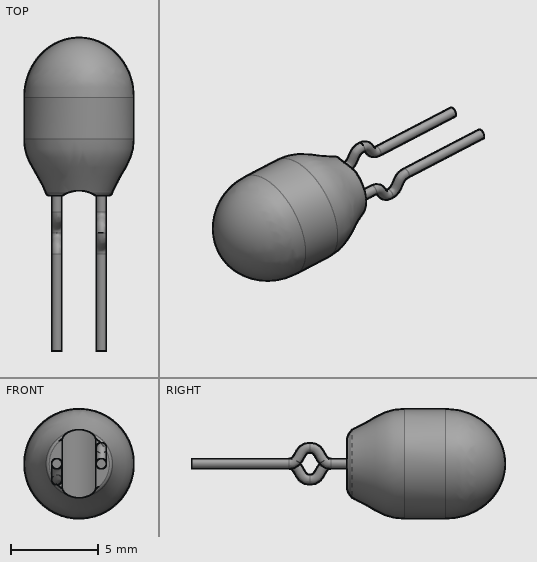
import cadquery as cq
import math

overall_length = 17.96
body_length = 9.07
body_diameter = 6.3
body_radius = body_diameter / 2

belt_start = 3.27
belt_end = 5.64
neck_height = 1.35
neck_radius = 2.51
rim_height = 0.16
rim_radius = 1.9
seat_radius = 1.72
neck_end_angle = math.radians(20)

channel_width = 1.9
channel_depth = 0.29

lead_diameter = 0.6
lead_pitch = 2.55
lead_embed = 1.44
lead_length = overall_length - body_length

kink_start = 0.92
kink_half_run = 1.2
kink_rise = 0.92


def make_body():
    """Revolved bead: rounded rim, flared neck, cylindrical belt and elliptical dome."""
    dome_height = body_length - belt_end
    neck_end_direction = (math.sin(neck_end_angle), -math.cos(neck_end_angle))
    profile = (
        cq.Workplane("XY")
        .moveTo(0, body_length)
        .ellipseArc(body_radius, dome_height, 90, 180, startAtCurrent=True, sense=1)
        .lineTo(-body_radius, belt_start)
        .spline(
            [(-neck_radius, neck_height), (-rim_radius, rim_height)],
            tangents=[(0, -1), neck_end_direction],
            includeCurrent=True,
        )
        .tangentArcPoint((-seat_radius, 0), relative=False)
        .lineTo(0, 0)
        .close()
    )
    return profile.revolve(360, (0, 0, 0), (0, 1, 0))


def make_channel():
    """Cutter for the arched channel, running through the seat along Z."""
    half_width = channel_width / 2
    return (
        cq.Workplane("XY")
        .moveTo(-half_width, 0)
        .threePointArc((0, channel_depth), (half_width, 0))
        .close()
        .extrude(body_radius, both=True)
    )


def make_lead(x, side):
    """Round wire at x, kinked towards +Z (side = 1) or -Z (side = -1)."""
    kink_middle = -kink_start - kink_half_run
    kink_end = kink_middle - kink_half_run
    along_lead = (-1, 0)
    path = (
        cq.Workplane("YZ", origin=(x, 0, 0))
        .moveTo(lead_embed, 0)
        .lineTo(-kink_start, 0)
        .spline([(kink_middle, side * kink_rise)], tangents=[along_lead, along_lead], includeCurrent=True)
        .spline([(kink_end, 0)], tangents=[along_lead, along_lead], includeCurrent=True)
        .lineTo(-lead_length, 0)
    )
    section = cq.Workplane("XZ", origin=(x, lead_embed, 0)).circle(lead_diameter / 2)
    return section.sweep(path)


result = make_body().cut(make_channel())
for side in (-1, 1):
    result = result.union(make_lead(side * lead_pitch / 2, side))